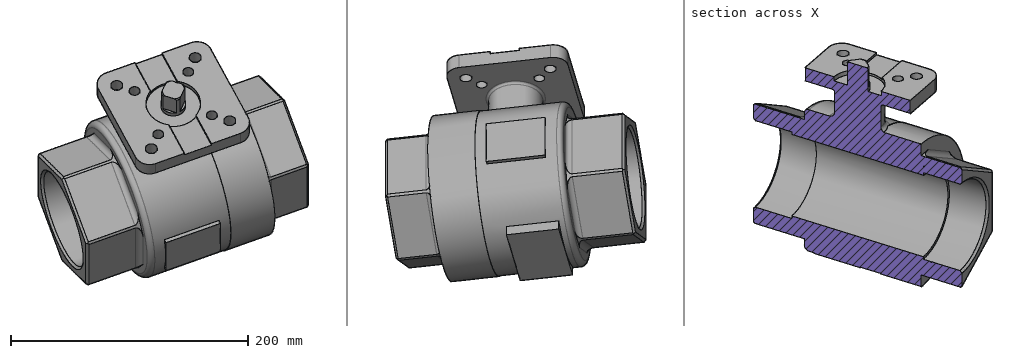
import cadquery as cq
import math


LENGTH = 205.0
STEM_TOP = 129.0

BODY_DIAMETER = 140.0
BODY_FRONT = -52.7
BODY_EDGE_FILLET = 5.0
SLEEVE_DIAMETER = 141.0
SLEEVE_START = 22.1
SLEEVE_BACK = 62.5

HEX_ACROSS_FLATS = 103.5
HEX_ACROSS_CORNERS = 118.0
HEX_CHAMFER = 2.0
HEX_ROOT_FILLET = 5.0

BORE_DIAMETER = 80.0
SOCKET_DIAMETER = 84.9
SOCKET_DEPTH = 38.0
SOCKET_CHAMFER = 2.0

NECK_DIAMETER = 46.0
NECK_BOTTOM = 51.2
NECK_ROOT_FILLET = 5.0
NECK_TOP_FILLET = 2.0
NECK_STUB_LENGTH = 4.0
FLANGE_SIDE = 103.5
FLANGE_TOP = 110.0
FLANGE_THICKNESS = 13.3
FLANGE_CORNER_RADIUS = 12.7
RECESS_DIAMETER = 46.0
RECESS_DEPTH = 4.0
SLOT_WIDTH = 24.8
SLOT_DEPTH = 2.0
INNER_HOLE_DIAMETER = 9.0
INNER_BOLT_CIRCLE = 70.0
OUTER_HOLE_DIAMETER = 10.0
OUTER_BOLT_CIRCLE = 102.0

STEM_DIAMETER = 21.0
STEM_ACROSS_FLATS = 16.8
STEM_CHAMFER = 1.0

PAD_REACH = SLEEVE_DIAMETER / 2
SIDE_PAD_LENGTH = 50.2
SIDE_PAD_HEIGHT = 39.8
SIDE_PAD_Y = -12.7
BOTTOM_PAD_LENGTH = 44.9
BOTTOM_PAD_WIDTH = 65.4
BOTTOM_PAD_Y = -20.3

FLANGE_BOTTOM = FLANGE_TOP - FLANGE_THICKNESS
RECESS_FLOOR = FLANGE_TOP - RECESS_DEPTH
HALF_LENGTH = LENGTH / 2


def cylinder_y(diameter, y_start, y_end):
    """Cylinder along Y, from y_start up to y_end."""
    plane = cq.Workplane("XZ", origin=(0, y_start, 0))
    return plane.circle(diameter / 2).extrude(y_start - y_end)


def hexagon_y(across_flats, y_start, y_end, turn):
    """Hexagonal prism along Y; with no turn, two of its corners lie on the X axis."""
    corner_diameter = across_flats / math.cos(math.pi / 6)
    plane = cq.Workplane("XZ", origin=(0, y_start, 0))
    prism = plane.polygon(6, corner_diameter).extrude(y_start - y_end)
    return prism.rotate((0, 0, 0), (0, 1, 0), turn)


def make_barrel():
    """Main barrel and neck, with the wider sleeve overlapping the back of both."""
    barrel = cylinder_y(BODY_DIAMETER, BODY_FRONT, SLEEVE_BACK)
    barrel = barrel.faces("<Y").edges().fillet(BODY_EDGE_FILLET)
    neck = (
        cq.Workplane("XY", origin=(0, 0, NECK_BOTTOM))
        .circle(NECK_DIAMETER / 2)
        .extrude(FLANGE_BOTTOM - NECK_BOTTOM)
    )
    root_zone = cq.selectors.BoxSelector(
        (-NECK_DIAMETER, -NECK_DIAMETER, NECK_BOTTOM),
        (NECK_DIAMETER, NECK_DIAMETER, BODY_DIAMETER / 2 + NECK_ROOT_FILLET),
        boundingbox=True,
    )
    barrel = barrel.union(neck).edges(root_zone).fillet(NECK_ROOT_FILLET)
    return barrel.union(cylinder_y(SLEEVE_DIAMETER, SLEEVE_START, SLEEVE_BACK))


def make_hex_end(root_y):
    """Hexagonal pipe end at +Y: flared root, chamfered mouth, corners cut to flats."""
    apothem = HEX_ACROSS_FLATS / 2
    side_length = HEX_ACROSS_FLATS * math.tan(math.pi / 6)
    end = hexagon_y(HEX_ACROSS_FLATS, 0, HALF_LENGTH, 30)
    end = end.faces(">Y").edges().chamfer(HEX_CHAMFER)

    arc_offset = HEX_ROOT_FILLET * (1 - math.sqrt(0.5))
    flare = (
        cq.Workplane("XY", origin=(0, 0, -side_length / 2))
        .moveTo(apothem, root_y)
        .lineTo(apothem + HEX_ROOT_FILLET, root_y)
        .threePointArc(
            (apothem + arc_offset, root_y + arc_offset),
            (apothem, root_y + HEX_ROOT_FILLET),
        )
        .close()
        .extrude(side_length)
    )
    for side in range(6):
        end = end.union(flare.rotate((0, 0, 0), (0, 1, 0), 60 * side))

    return end.intersect(hexagon_y(HEX_ACROSS_CORNERS, 0, HALF_LENGTH, 0))


def make_pads():
    """Flat pads on both sides and underneath, squaring off the barrel."""
    side_pads = cq.Workplane("XY", origin=(0, SIDE_PAD_Y, 0)).box(
        2 * PAD_REACH, SIDE_PAD_LENGTH, SIDE_PAD_HEIGHT
    )
    bottom_pad = cq.Workplane("XY", origin=(0, BOTTOM_PAD_Y, -PAD_REACH)).box(
        BOTTOM_PAD_WIDTH, BOTTOM_PAD_LENGTH, PAD_REACH, centered=(True, True, False)
    )
    return side_pads.union(bottom_pad)


def bolt_holes(diameter, bolt_circle):
    """Four through holes on the flange diagonals."""
    spacing = bolt_circle * math.sqrt(0.5)
    return (
        cq.Workplane("XY", origin=(0, 0, FLANGE_BOTTOM))
        .rect(spacing, spacing, forConstruction=True)
        .vertices()
        .circle(diameter / 2)
        .extrude(FLANGE_THICKNESS)
    )


def make_flange():
    """Square actuator flange on a neck stub, with a recess, a cross slot and bolt holes."""
    flange = (
        cq.Workplane("XY", origin=(0, 0, FLANGE_BOTTOM))
        .rect(FLANGE_SIDE, FLANGE_SIDE)
        .extrude(FLANGE_THICKNESS)
        .edges("|Z")
        .fillet(FLANGE_CORNER_RADIUS)
    )
    stub = (
        cq.Workplane("XY", origin=(0, 0, FLANGE_BOTTOM))
        .circle(NECK_DIAMETER / 2)
        .extrude(-NECK_STUB_LENGTH)
    )
    joint = cq.selectors.BoxSelector(
        (-NECK_DIAMETER / 2, -NECK_DIAMETER / 2, FLANGE_BOTTOM - NECK_TOP_FILLET / 2),
        (NECK_DIAMETER / 2, NECK_DIAMETER / 2, FLANGE_BOTTOM + NECK_TOP_FILLET / 2),
    )
    flange = flange.union(stub).edges(joint).fillet(NECK_TOP_FILLET)

    top_face = cq.Workplane("XY", origin=(0, 0, FLANGE_TOP))
    flange = flange.cut(top_face.circle(RECESS_DIAMETER / 2).extrude(-RECESS_DEPTH))
    flange = flange.cut(top_face.rect(FLANGE_SIDE, SLOT_WIDTH).extrude(-SLOT_DEPTH))
    flange = flange.cut(bolt_holes(INNER_HOLE_DIAMETER, INNER_BOLT_CIRCLE))
    return flange.cut(bolt_holes(OUTER_HOLE_DIAMETER, OUTER_BOLT_CIRCLE))


def make_stem():
    """Round stem whose part above the flange is cut to a square set on its corner."""
    stem = (
        cq.Workplane("XY", origin=(0, 0, RECESS_FLOOR))
        .circle(STEM_DIAMETER / 2)
        .extrude(STEM_TOP - RECESS_FLOOR)
        .faces(">Z")
        .edges()
        .chamfer(STEM_CHAMFER)
    )
    square_zone = cq.Workplane("XY", origin=(0, 0, FLANGE_TOP))
    around_square = (
        square_zone.rect(2 * STEM_DIAMETER, 2 * STEM_DIAMETER)
        .rect(STEM_ACROSS_FLATS, STEM_ACROSS_FLATS)
        .extrude(STEM_TOP - FLANGE_TOP)
        .rotate((0, 0, 0), (0, 0, 1), 45)
    )
    return stem.cut(around_square)


def make_bore():
    """Through bore with a wider chamfered socket at each end."""
    bore = cylinder_y(BORE_DIAMETER, -HALF_LENGTH, HALF_LENGTH)
    mouth_radius = SOCKET_DIAMETER / 2 + SOCKET_CHAMFER
    socket = cylinder_y(SOCKET_DIAMETER, HALF_LENGTH - SOCKET_DEPTH, HALF_LENGTH)
    mouth = (
        cq.Workplane("XZ", origin=(0, HALF_LENGTH, 0))
        .circle(mouth_radius)
        .extrude(SOCKET_CHAMFER, taper=45)
    )
    socket = socket.union(mouth)
    return bore.union(socket).union(socket.mirror("XZ"))


result = (
    make_barrel()
    .union(make_hex_end(SLEEVE_BACK))
    .union(make_hex_end(-BODY_FRONT).mirror("XZ"))
    .union(make_pads())
    .union(make_flange())
    .union(make_stem())
    .cut(make_bore())
)